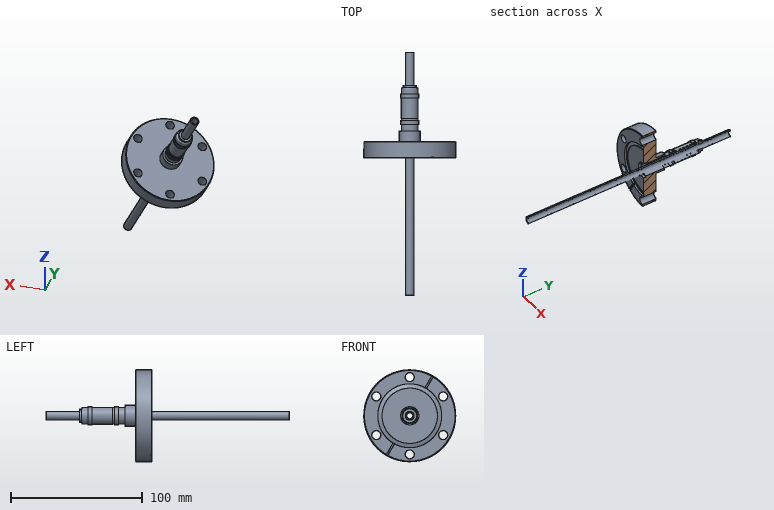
import cadquery as cq


tube_length = 184.2
tube_front_reach = 103.9
tube_outer_diameter = 6.6
tube_bore_diameter = 4.6

flange_diameter = 69.8
flange_thickness = 12.7
flange_chamfer = 0.5

recess_diameter = 48.5
recess_depth = 1.7
knife_edge_diameter = 42.0
knife_edge_depth = 0.5
recess_floor_depth = 1.1

bolt_count = 6
bolt_circle_diameter = 58.5
bolt_hole_diameter = 6.6
groove_angle = 60
groove_width = 1.3
groove_depth = 1.0

collar_diameter = 16.0
collar_end = 20.5
cup_diameter = 12.7
ceramic_diameter = 12.9
ceramic_start = 30.0
cup_end = 53.4
cup_end_fillet = 1.0
hub_diameter = 10.0
hub_length = 1.7
band_diameter = 13.8
band_width = 3.3
front_band_start = 25.5
rear_band_start = 45.5
front_band_chamfer = 0.2

mouth_diameter = 13.8
mouth_depth = 3.3
cup_bore_diameter = 11.6
ceramic_bore_diameter = 10.7
end_wall = 1.8


def cylinder(diameter, start, end):
    """Solid cylinder along Y between two stations."""
    plane = cq.Workplane("XZ", origin=(0, start, 0))
    return plane.circle(diameter / 2).extrude(start - end)


def seal_recess():
    """Cutter whose sloped outer floor and deeper centre leave a circular knife edge."""
    knife_radius = knife_edge_diameter / 2
    recess_radius = recess_diameter / 2
    profile = [
        (0, 0),
        (recess_radius, 0),
        (recess_radius, recess_depth),
        (knife_radius, knife_edge_depth),
        (knife_radius, recess_floor_depth),
        (0, recess_floor_depth),
    ]
    return cq.Workplane("XY").polyline(profile).close().revolve(360, (0, 0, 0), (0, 1, 0))


def leak_check_grooves():
    """Two opposite radial grooves from the seal recess out to the rim."""
    bar = cq.Workplane("XY").box(flange_diameter, 2 * groove_depth, groove_width)
    bar = bar.cut(cylinder(recess_diameter, -groove_depth, groove_depth))
    return bar.rotate((0, 0, 0), (0, 1, 0), -groove_angle)


def make_flange():
    flange = cylinder(flange_diameter, 0, flange_thickness).edges().chamfer(flange_chamfer)
    bolt_holes = (
        cq.Workplane("XZ")
        .polarArray(bolt_circle_diameter / 2, 90, 360, bolt_count)
        .circle(bolt_hole_diameter / 2)
        .extrude(-flange_thickness)
    )
    return flange.cut(bolt_holes).cut(seal_recess()).cut(leak_check_grooves())


def make_insulator():
    insulator = cylinder(cup_diameter, flange_thickness, cup_end)
    insulator = insulator.faces(">Y").edges().fillet(cup_end_fillet)
    insulator = insulator.union(cylinder(collar_diameter, flange_thickness, collar_end))
    insulator = insulator.union(cylinder(hub_diameter, cup_end - end_wall, cup_end + hub_length))
    insulator = insulator.union(cylinder(ceramic_diameter, ceramic_start, rear_band_start))
    front_band = cylinder(band_diameter, front_band_start, front_band_start + band_width)
    front_band = front_band.edges().chamfer(front_band_chamfer)
    rear_band = cylinder(band_diameter, rear_band_start, rear_band_start + band_width)
    return insulator.union(front_band).union(rear_band)


def make_cavity():
    mouth = cylinder(mouth_diameter, 0, mouth_depth)
    cup_bore = cylinder(cup_bore_diameter, 0, ceramic_start)
    ceramic_bore = cylinder(ceramic_bore_diameter, 0, cup_end - end_wall)
    return mouth.union(cup_bore).union(ceramic_bore)


tube_back = tube_length - tube_front_reach
tube = cylinder(tube_outer_diameter, -tube_front_reach, tube_back)
tube_bore = cylinder(tube_bore_diameter, -tube_front_reach, tube_back)

housing = make_flange().union(make_insulator()).cut(make_cavity())
result = housing.union(tube).cut(tube_bore)